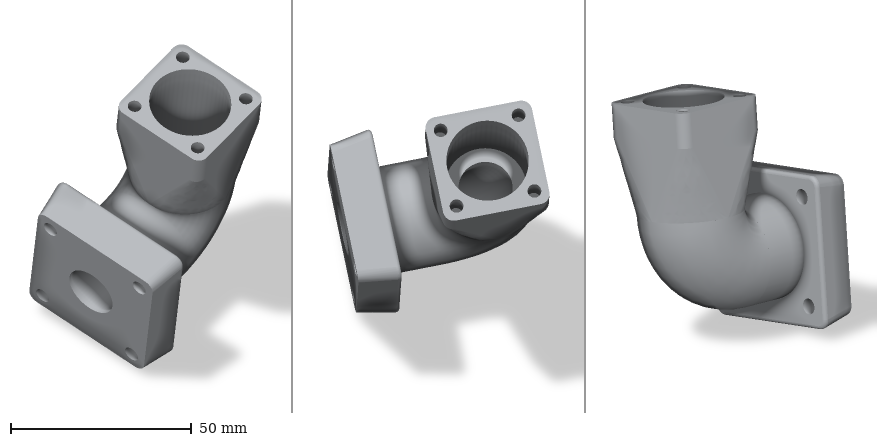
import cadquery as cq
import math

QUARTER_TURN = 90.0

TILT_ANGLE = 5.0

FLANGE_FRONT_SIDE = 40.0
FLANGE_THICKNESS = 12.0
FLANGE_FLARE_ANGLE = 9.0
CORNER_RADIUS = 3.0
FLANGE_BACK_FILLET = 1.0
FLANGE_HOLE_DIAMETER = 4.5
FLANGE_HOLE_PITCH = 31.0

PIPE_DIAMETER = 30.0
PIPE_END_Y = 25.0
BEND_RADIUS = PIPE_DIAMETER / 2
BORE_DIAMETER = 15.0
AXIS_CLEARANCE = 0.001

OUTLET_SIDE = PIPE_DIAMETER
TRANSITION_HEIGHT = 22.0
OUTLET_HEIGHT = 10.0
SOCKET_DIAMETER = 22.8
OUTLET_HOLE_DIAMETER = 3.8
OUTLET_HOLE_PITCH = 22.0
OUTLET_HOLE_DEPTH = 10.0

LEG_AXIS_Y = PIPE_END_Y + BEND_RADIUS
TRANSITION_BASE_Z = BEND_RADIUS
OUTLET_BASE_Z = TRANSITION_BASE_Z + TRANSITION_HEIGHT
OUTLET_TOP_Z = OUTLET_BASE_Z + OUTLET_HEIGHT


def leg_plane(z):
    """Horizontal plane centred on the upright leg."""
    return cq.Workplane("XY", origin=(0, LEG_AXIS_Y, z))


def pipe_plane(y):
    """Upright plane on the pipe axis, facing +Y."""
    return cq.Workplane(cq.Plane(origin=(0, y, 0), xDir=(1, 0, 0), normal=(0, 1, 0)))


def straight_rod(diameter):
    """Round rod along the pipe axis."""
    return pipe_plane(0).circle(diameter / 2).extrude(PIPE_END_Y)


def quarter_bend(diameter):
    """Quarter turn from the end of the straight rod into the upright leg."""
    axis_start = (0, -BEND_RADIUS, 0)
    axis_end = (1, -BEND_RADIUS, 0)
    return pipe_plane(PIPE_END_Y).circle(diameter / 2).revolve(QUARTER_TURN, axis_start, axis_end)


def flange():
    """Square plate that widens towards the pipe, with rounded corners and back rim."""
    flare = FLANGE_THICKNESS * math.tan(math.radians(FLANGE_FLARE_ANGLE))
    back_side = FLANGE_FRONT_SIDE + 2 * flare
    body = (
        pipe_plane(0)
        .rect(FLANGE_FRONT_SIDE, FLANGE_FRONT_SIDE)
        .workplane(offset=FLANGE_THICKNESS)
        .rect(back_side, back_side)
        .loft(ruled=True)
    )
    body = body.edges("not(#Y or |X or |Z)").fillet(CORNER_RADIUS)
    return body.faces(">Y").edges().fillet(FLANGE_BACK_FILLET)


def round_to_square_transition():
    """Solid between the pipe circle and the rounded square of the outlet.

    Each corner is a ruled surface between a quarter of the circle and a
    corner arc. A flat triangle fills each side.
    """
    pipe_radius = PIPE_DIAMETER / 2
    corner_offset = OUTLET_SIDE / 2 - CORNER_RADIUS

    def arc_point(center, radius, angle, z):
        return cq.Vector(
            center.x + radius * math.cos(math.radians(angle)),
            center.y + radius * math.sin(math.radians(angle)),
            z,
        )

    def quarter_arc(center, radius, start, z):
        points = [arc_point(center, radius, start + turn, z) for turn in (0, QUARTER_TURN / 2, QUARTER_TURN)]
        return cq.Edge.makeThreePointArc(*points)

    reach = corner_offset * math.sqrt(2)
    leg_center = cq.Vector(0, LEG_AXIS_Y, 0)
    circle_arcs = []
    corner_arcs = []
    for quarter in range(4):
        start = quarter * QUARTER_TURN
        middle = math.radians(start + QUARTER_TURN / 2)
        corner_center = leg_center + cq.Vector(reach * math.cos(middle), reach * math.sin(middle), 0)
        circle_arcs.append(quarter_arc(leg_center, pipe_radius, start, TRANSITION_BASE_Z))
        corner_arcs.append(quarter_arc(corner_center, CORNER_RADIUS, start, OUTLET_BASE_Z))

    faces = []
    top_edges = []
    for index, (low, high) in enumerate(zip(circle_arcs, corner_arcs)):
        next_high = corner_arcs[(index + 1) % len(corner_arcs)]
        side_top = cq.Edge.makeLine(high.endPoint(), next_high.startPoint())
        left_side = cq.Edge.makeLine(low.endPoint(), high.endPoint())
        right_side = cq.Edge.makeLine(next_high.startPoint(), low.endPoint())
        faces.append(cq.Face.makeRuledSurface(low, high))
        faces.append(cq.Face.makeFromWires(cq.Wire.assembleEdges([left_side, side_top, right_side])))
        top_edges += [high, side_top]
    faces.append(cq.Face.makeFromWires(cq.Wire.assembleEdges(circle_arcs)))
    faces.append(cq.Face.makeFromWires(cq.Wire.assembleEdges(top_edges)))
    return cq.Workplane(cq.Solid.makeSolid(cq.Shell.makeShell(faces)))


def outlet():
    """Straight square end of the upright leg."""
    body = leg_plane(OUTLET_BASE_Z).rect(OUTLET_SIDE, OUTLET_SIDE).extrude(OUTLET_HEIGHT)
    return body.edges("|Z").fillet(CORNER_RADIUS)


def flange_holes():
    """Four through holes in the flange."""
    return (
        pipe_plane(0)
        .rect(FLANGE_HOLE_PITCH, FLANGE_HOLE_PITCH, forConstruction=True)
        .vertices()
        .circle(FLANGE_HOLE_DIAMETER / 2)
        .extrude(FLANGE_THICKNESS)
    )


def outlet_holes():
    """Four blind holes in the top face of the outlet."""
    return (
        leg_plane(OUTLET_TOP_Z)
        .rect(OUTLET_HOLE_PITCH, OUTLET_HOLE_PITCH, forConstruction=True)
        .vertices()
        .circle(OUTLET_HOLE_DIAMETER / 2)
        .extrude(-OUTLET_HOLE_DEPTH)
    )


def socket():
    """Wide bore of the upright leg, down to the top of the bend."""
    return leg_plane(TRANSITION_BASE_Z).circle(SOCKET_DIAMETER / 2).extrude(OUTLET_TOP_Z - TRANSITION_BASE_Z)


leg = round_to_square_transition().union(outlet())
body = (
    flange()
    .union(straight_rod(PIPE_DIAMETER))
    .union(quarter_bend(PIPE_DIAMETER - 2 * AXIS_CLEARANCE), clean=False)
    .union(leg, clean=False)
)
cutters = (
    straight_rod(BORE_DIAMETER),
    quarter_bend(BORE_DIAMETER),
    socket(),
    flange_holes(),
    outlet_holes(),
)
for cutter in cutters:
    body = body.cut(cutter, clean=False)

result = body.rotate((0, 0, 0), (0, 1, 0), TILT_ANGLE)